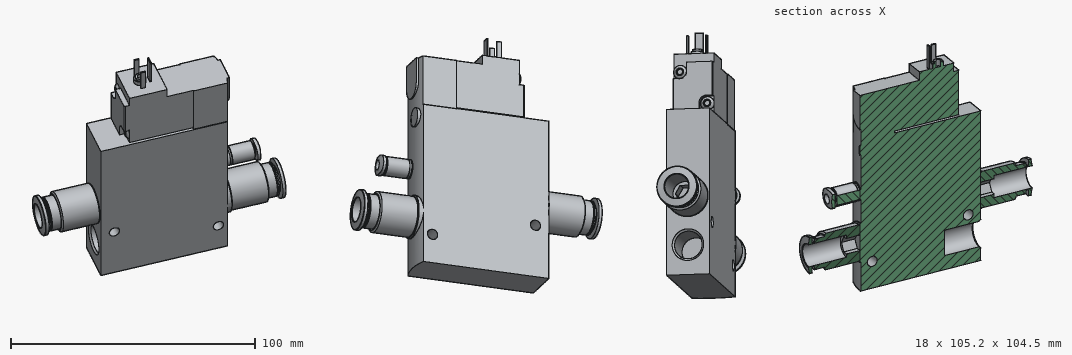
import cadquery as cq
import math


HOUSING_WIDTH = 18.0
HOUSING_HEIGHT = 68.9
FRONT_Y = -28.4
SIDE_END_Y = 26.5
BACK_Y = 28.0
PAD_Y = 28.4

PILOT_WIDTH = 17.4
PILOT_TOP_Z = 90.2
COIL_BACK_Y = 11.9

COIL_WIDTH = 16.7
COIL_BOTTOM_Z = 69.5
TOWER_BACK_Y = 0.5
TOWER_FRONT_Y = -15.8
TOWER_TOP_Z = 94.0
COVER_FRONT_Y = -18.1
COVER_CHAMFER_X = 0.3
COVER_CHAMFER_Y = 0.5

SCREW_PLACES = [(-5.7, 86.5), (5.7, 73.1)]
SCREW_NOTCH_RADIUS = 3.0
SCREW_HEAD_DIA = 5.6
SCREW_FLAT_DIA = 3.2
SCREW_HEAD_HEIGHT = 1.0
SCREW_DOME_RISE = 0.1
SCREW_SOCKET_DIA = 2.3
SCREW_SOCKET_DEPTH = 0.6

INSERT_Y = -8.4
INSERT_COLLAR_DIA = 5.0
INSERT_COLLAR_HEIGHT = 1.9
INSERT_TIP_DIA = 3.8
INSERT_TIP_HEIGHT = 2.8
INSERT_BORE_DIA = 2.0
CONTACT_THICKNESS = 0.6
WIDE_CONTACT_WIDTH = 3.3
WIDE_CONTACT_Y = -4.3
WIDE_CONTACT_TOP_Z = 104.5
SIDE_CONTACT_WIDTH = 2.0
SIDE_CONTACT_X = 4.0
SIDE_CONTACT_TOP_Z = 102.7

FRONT_FITTING_Z = 32.5
REAR_FITTING_Z = 22.4
REAR_PAD_DIA = 18.1
SMALL_PAD_DIA = 8.0
SMALL_PAD_X = 3.3
SMALL_FITTING_Z = 44.5
UPPER_PAD_Z = 64.9
TOP_PAD_WIDTH = 11.5
TOP_PAD_CENTRE_Z = 80.1
OPEN_PORT_Z = 12.4
OPEN_PORT_DIA = 11.5
OPEN_PORT_MOUTH_DIA = 13.2
OPEN_PORT_DEPTH = 16.8
MOUNT_HOLE_DIA = 4.4
MOUNT_HOLE_PLACES = [(22.5, 12.4), (-22.5, 22.5)]

SHOULDER_DIA = 16.4
SHOULDER_END = 0.3
BARREL_DIA = 17.0
BARREL_LIP_DIA = 15.4
BARREL_CHAMFER_START = 16.0
BARREL_END = 16.5
SLEEVE_DIA = 14.3
SLEEVE_GROOVE_DIA = 13.9
SLEEVE_GROOVE_START = 20.3
SLEEVE_GROOVE_END = 20.7
SLEEVE_END = 21.3
NECK_DIA = 11.4
FLANGE_START = 22.2
FLANGE_DIA = 16.8
FLANGE_RIM_DIA = 16.4
FLANGE_CHAMFER_START = 23.5
FLANGE_CHAMFER_END = 23.7
FITTING_LENGTH = 24.2
TUBE_BORE_DIA = 10.0
TUBE_MOUTH_DIA = 10.5
TUBE_BORE_START = 6.3
HEX_CORNER_DIA = 8.0

SMALL_BASE_DIA = 7.8
SMALL_BASE_END = 0.7
SMALL_BARREL_DIA = 8.0
SMALL_BARREL_END = 10.7
SMALL_BARREL_CHAMFER = 0.2
SMALL_NECK_DIA = 5.0
SMALL_FLANGE_START = 11.5
SMALL_RIM_END = 12.7
SMALL_FLANGE_LENGTH = 10.0
SMALL_FLANGE_HEIGHT = 7.8
SMALL_TIP_DIA = 4.4
SMALL_FITTING_LENGTH = 13.6
SMALL_BORE_DIA = 4.1
SMALL_BORE_START = 4.2


def block(width, y_min, y_max, z_min, z_max, x_centre=0):
    """Box of a given X width between two Y and two Z planes."""
    size = (width, y_max - y_min, z_max - z_min)
    corner = (x_centre - width / 2, y_min, z_min)
    return cq.Workplane("XY").box(*size, centered=False).translate(corner)


def y_cylinder(diameter, x, z, y_start, y_end):
    """Cylinder along Y between two Y planes."""
    circle = cq.Workplane("XZ", origin=(x, y_start, z)).circle(diameter / 2)
    return circle.extrude(y_start - y_end)


def z_cylinder(diameter, y, z_start, z_end):
    """Upright cylinder on the X = 0 plane."""
    return cq.Workplane("XY", origin=(0, y, z_start)).circle(diameter / 2).extrude(z_end - z_start)


BACK_RISE = BACK_Y - SIDE_END_Y
BACK_RADIUS = ((HOUSING_WIDTH / 2) ** 2 + BACK_RISE ** 2) / (2 * BACK_RISE)


def back_y(x):
    """Y of the curved back at a given X."""
    return BACK_Y - BACK_RADIUS + math.sqrt(BACK_RADIUS ** 2 - x ** 2)


def curved_back_block(width, y_min, z_min, z_max):
    """Block whose back follows the common back curve."""
    half = width / 2
    outline = (
        cq.Workplane("XY", origin=(0, 0, z_min))
        .moveTo(-half, y_min)
        .lineTo(half, y_min)
        .lineTo(half, back_y(half))
        .threePointArc((0, BACK_Y), (-half, back_y(half)))
        .close()
    )
    return outline.extrude(z_max - z_min)


def back_pads():
    """Raised pads on the curved back, all ending in one plane."""
    rear = y_cylinder(REAR_PAD_DIA, 0, REAR_FITTING_Z, COIL_BACK_Y, PAD_Y)
    rear = rear.intersect(block(HOUSING_WIDTH, COIL_BACK_Y, PAD_Y, 0, HOUSING_HEIGHT))
    lower = y_cylinder(SMALL_PAD_DIA, SMALL_PAD_X, SMALL_FITTING_Z, COIL_BACK_Y, PAD_Y)
    upper = y_cylinder(SMALL_PAD_DIA, -SMALL_PAD_X, UPPER_PAD_Z, COIL_BACK_Y, PAD_Y)
    top = y_cylinder(TOP_PAD_WIDTH, 0, TOP_PAD_CENTRE_Z, COIL_BACK_Y, PAD_Y)
    top = top.union(block(TOP_PAD_WIDTH, COIL_BACK_Y, PAD_Y, TOP_PAD_CENTRE_Z, PILOT_TOP_Z))
    top = top.intersect(block(TOP_PAD_WIDTH, COIL_BACK_Y, PAD_Y, HOUSING_HEIGHT, PILOT_TOP_Z))
    return rear.union(lower).union(upper).union(top)


def open_port():
    """Blind port with a countersunk mouth in the front face."""
    radius = OPEN_PORT_DIA / 2
    mouth = OPEN_PORT_MOUTH_DIA / 2
    outline = (
        cq.Workplane("XY")
        .polyline([
            (0, 0),
            (mouth, 0),
            (radius, mouth - radius),
            (radius, OPEN_PORT_DEPTH),
            (0, OPEN_PORT_DEPTH),
        ])
        .close()
    )
    return outline.revolve(360, (0, 0, 0), (0, 1, 0)).translate((0, FRONT_Y, OPEN_PORT_Z))


def mounting_holes():
    """Holes through the housing along X."""
    holes = cq.Workplane("YZ", origin=(-HOUSING_WIDTH / 2, 0, 0)).pushPoints(MOUNT_HOLE_PLACES)
    return holes.circle(MOUNT_HOLE_DIA / 2).extrude(HOUSING_WIDTH)


def screw_notch(x, z):
    """Corner cut in the cover around a screw: the left one opens upwards, the right one downwards."""
    reach = COIL_WIDTH
    outward = math.copysign(reach, x)
    upward = -outward
    radius = SCREW_NOTCH_RADIUS
    depth = TOWER_FRONT_Y - COVER_FRONT_Y
    plane = cq.Workplane("XZ", origin=(x, TOWER_FRONT_Y, z))
    round_corner = plane.circle(radius).extrude(depth)
    side_arm = plane.center(outward / 2, 0).rect(reach, 2 * radius).extrude(depth)
    end_arm = plane.center(0, upward / 2).rect(2 * radius, reach).extrude(depth)
    corner = plane.center(outward / 2, upward / 2).rect(reach, reach).extrude(depth)
    return round_corner.union(side_arm).union(end_arm).union(corner)


def screw_head(x, z):
    """Domed screw head with a round socket, standing on the coil face."""
    head = SCREW_HEAD_DIA / 2
    flat = SCREW_FLAT_DIA / 2
    socket = SCREW_SOCKET_DIA / 2
    socket_floor = SCREW_SOCKET_DEPTH - SCREW_HEAD_HEIGHT
    dome_middle = ((head + flat) / 2 + SCREW_DOME_RISE, -SCREW_HEAD_HEIGHT / 2 - SCREW_DOME_RISE)
    outline = (
        cq.Workplane("XY")
        .moveTo(0, 0)
        .lineTo(head, 0)
        .threePointArc(dome_middle, (flat, -SCREW_HEAD_HEIGHT))
        .lineTo(socket, -SCREW_HEAD_HEIGHT)
        .lineTo(socket, socket_floor)
        .lineTo(0, socket_floor)
        .close()
    )
    return outline.revolve(360, (0, 0, 0), (0, 1, 0)).translate((x, TOWER_FRONT_Y, z))


def coil_cover():
    """Front plate of the coil with chamfered sides and two screw notches."""
    half = COIL_WIDTH / 2
    face_half = half - COVER_CHAMFER_X
    chamfer_y = COVER_FRONT_Y + COVER_CHAMFER_Y
    cover = (
        cq.Workplane("XY", origin=(0, 0, COIL_BOTTOM_Z))
        .polyline([
            (-half, TOWER_FRONT_Y),
            (-half, chamfer_y),
            (-face_half, COVER_FRONT_Y),
            (face_half, COVER_FRONT_Y),
            (half, chamfer_y),
            (half, TOWER_FRONT_Y),
        ])
        .close()
        .extrude(PILOT_TOP_Z - COIL_BOTTOM_Z)
    )
    for x, z in SCREW_PLACES:
        cover = cover.cut(screw_notch(x, z))
    return cover


def plug_contacts():
    """One wide contact blade and two narrow ones at its sides."""
    contacts = block(
        WIDE_CONTACT_WIDTH,
        WIDE_CONTACT_Y - CONTACT_THICKNESS / 2,
        WIDE_CONTACT_Y + CONTACT_THICKNESS / 2,
        TOWER_TOP_Z,
        WIDE_CONTACT_TOP_Z,
    )
    for x in (-SIDE_CONTACT_X, SIDE_CONTACT_X):
        side = block(
            CONTACT_THICKNESS,
            INSERT_Y - SIDE_CONTACT_WIDTH / 2,
            INSERT_Y + SIDE_CONTACT_WIDTH / 2,
            TOWER_TOP_Z,
            SIDE_CONTACT_TOP_Z,
            x,
        )
        contacts = contacts.union(side)
    return contacts


def threaded_insert():
    """Stepped round insert with a blind bore down to the tower top."""
    tip_z = TOWER_TOP_Z + INSERT_TIP_HEIGHT
    collar = z_cylinder(INSERT_COLLAR_DIA, INSERT_Y, TOWER_TOP_Z, TOWER_TOP_Z + INSERT_COLLAR_HEIGHT)
    tip = z_cylinder(INSERT_TIP_DIA, INSERT_Y, TOWER_TOP_Z, tip_z)
    bore = z_cylinder(INSERT_BORE_DIA, INSERT_Y, TOWER_TOP_Z, tip_z)
    return collar.union(tip).cut(bore)


def coil():
    """Coil with its tower, cover, screws, contacts and insert."""
    body = block(COIL_WIDTH, TOWER_FRONT_Y, COIL_BACK_Y, COIL_BOTTOM_Z, PILOT_TOP_Z)
    tower = block(COIL_WIDTH, TOWER_FRONT_Y, TOWER_BACK_Y, COIL_BOTTOM_Z, TOWER_TOP_Z)
    body = body.union(tower).union(coil_cover())
    for x, z in SCREW_PLACES:
        body = body.union(screw_head(x, z))
    return body.union(plug_contacts()).union(threaded_insert())


def make_valve():
    """Housing, pilot block and coil as one solid."""
    housing = curved_back_block(HOUSING_WIDTH, FRONT_Y, 0, HOUSING_HEIGHT)
    pilot = curved_back_block(PILOT_WIDTH, COIL_BACK_Y, HOUSING_HEIGHT, PILOT_TOP_Z)
    valve = housing.union(pilot).union(back_pads()).union(coil())
    return valve.cut(open_port()).cut(mounting_holes())


def make_large_fitting():
    """Turned fitting with a tube bore that ends in a through hexagon socket."""
    profile = (
        cq.Workplane("XY")
        .polyline([
            (0, 0),
            (SHOULDER_DIA / 2, 0),
            (SHOULDER_DIA / 2, SHOULDER_END),
            (BARREL_DIA / 2, SHOULDER_END),
            (BARREL_DIA / 2, BARREL_CHAMFER_START),
            (BARREL_LIP_DIA / 2, BARREL_END),
            (SLEEVE_DIA / 2, BARREL_END),
            (SLEEVE_DIA / 2, SLEEVE_GROOVE_START),
            (SLEEVE_GROOVE_DIA / 2, SLEEVE_GROOVE_START),
            (SLEEVE_GROOVE_DIA / 2, SLEEVE_GROOVE_END),
            (SLEEVE_DIA / 2, SLEEVE_GROOVE_END),
            (SLEEVE_DIA / 2, SLEEVE_END),
            (NECK_DIA / 2, SLEEVE_END),
            (NECK_DIA / 2, FLANGE_START),
            (FLANGE_DIA / 2, FLANGE_START),
            (FLANGE_DIA / 2, FLANGE_CHAMFER_START),
            (FLANGE_RIM_DIA / 2, FLANGE_CHAMFER_END),
            (TUBE_MOUTH_DIA / 2, FITTING_LENGTH),
            (TUBE_BORE_DIA / 2, FITTING_LENGTH - (TUBE_MOUTH_DIA - TUBE_BORE_DIA) / 2),
            (TUBE_BORE_DIA / 2, TUBE_BORE_START),
            (0, TUBE_BORE_START),
        ])
        .close()
    )
    fitting = profile.revolve(360, (0, 0, 0), (0, 1, 0))
    hexagon = cq.Workplane("XZ").polygon(6, HEX_CORNER_DIA).extrude(-TUBE_BORE_START)
    return fitting.cut(hexagon)


def make_small_fitting():
    """Small fitting whose oblong release flange has a shallow conical end."""
    base = y_cylinder(SMALL_BASE_DIA, 0, 0, 0, SMALL_BASE_END)
    barrel = y_cylinder(SMALL_BARREL_DIA, 0, 0, SMALL_BASE_END, SMALL_BARREL_END)
    barrel = barrel.faces("<Y or >Y").chamfer(SMALL_BARREL_CHAMFER)
    neck = y_cylinder(SMALL_NECK_DIA, 0, 0, SMALL_BARREL_END, SMALL_FLANGE_START)
    flange = (
        cq.Workplane("XZ", origin=(0, SMALL_FLANGE_START, 0))
        .slot2D(SMALL_FLANGE_LENGTH, SMALL_FLANGE_HEIGHT)
        .extrude(SMALL_FLANGE_START - SMALL_FITTING_LENGTH)
    )
    cone_tipped_disc = (
        cq.Workplane("XY")
        .polyline([
            (0, SMALL_FLANGE_START),
            (SMALL_FLANGE_LENGTH / 2, SMALL_FLANGE_START),
            (SMALL_FLANGE_LENGTH / 2, SMALL_RIM_END),
            (SMALL_TIP_DIA / 2, SMALL_FITTING_LENGTH),
            (0, SMALL_FITTING_LENGTH),
        ])
        .close()
        .revolve(360, (0, 0, 0), (0, 1, 0))
    )
    flange = flange.intersect(cone_tipped_disc)
    bore = y_cylinder(SMALL_BORE_DIA, 0, 0, SMALL_BORE_START, SMALL_FITTING_LENGTH)
    return base.union(barrel).union(neck).union(flange).cut(bore)


valve = make_valve()

LARGE_FITTING_PLACES = [(180, FRONT_Y, FRONT_FITTING_Z), (0, PAD_Y, REAR_FITTING_Z)]
large_fittings = []
for angle, seat_y, axis_z in LARGE_FITTING_PLACES:
    fitting = make_large_fitting().rotate((0, 0, 0), (0, 0, 1), angle)
    large_fittings.append(fitting.translate((0, seat_y, axis_z)).val())

small_fitting = make_small_fitting().translate((SMALL_PAD_X, PAD_Y, SMALL_FITTING_Z))

result = cq.Compound.makeCompound([valve.val(), *large_fittings, small_fitting.val()])